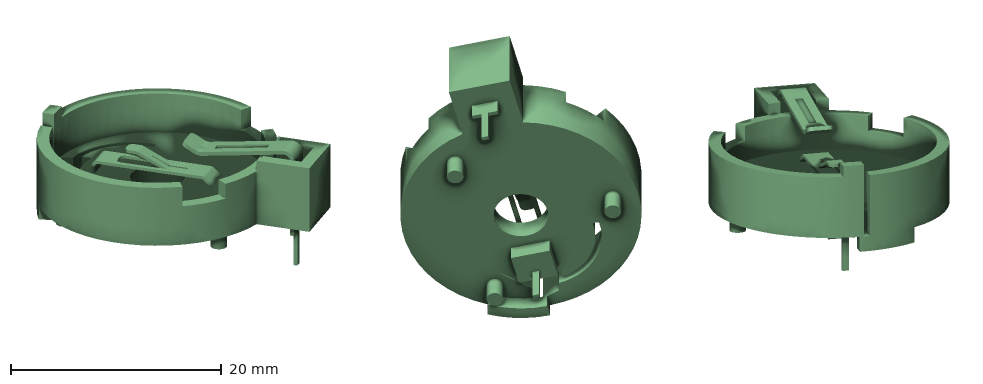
import cadquery as cq
import math


overall_length = 27.8
ring_diameter = 22.88
ring_radius = ring_diameter / 2
bore_radius = 10.25
ring_height = 6.03
floor_thickness = 2.0
center_hole_radius = 2.59

window_start_angle = 36.0
window_end_angle = 58.5
window_sill = 4.0
low_rim_height = 5.53

tab_height = 7.12
tab_y_max = 1.6
tab_y_min = -0.4
tab_slot_y_min = -0.97

curved_slot_center = (-2.97, 0.95)
curved_slot_outer_radius = 6.03
curved_slot_inner_radius = 5.42
curved_slot_mid_angle = 140.0
curved_slot_end_x = -2.6
curved_slot_corner_radius = 0.15
opening_center_x = -1.0
opening_radius = 6.6
opening_y_max = 2.03
opening_tip_y = -3.7
opening_bevel_x = -9.23
finger_corner_y = 1.47
finger_end = (-9.9, 1.2)
finger_bore_y = 0.1

box_width = 5.95
box_wall = 1.22
box_height = 6.62

foot_depth = 1.5
rim_foot_outer_angle = 30.1
rim_foot_inner_angle = 31.7
inner_foot_x_min = -6.85
inner_foot_x_max = -3.7
inner_foot_width = 3.78
peg_radius = 0.78
peg_length = 2.1
peg_circle_radius = 8.98
peg_angles = (90.0, 210.0, 330.0)

contact_width = 2.5
pin_width = 0.65
pin_bottom = -4.98
corner_radius = 0.5

lower_thickness = 0.3
lower_leg_x = -6.17
lower_top = 3.34
lower_bend_radius = 0.6
lower_tail_corner_x = 5.1
lower_tail_run = 0.97
lower_tail_drop = 0.8
lower_tail_bend_radius = 0.5
tongue_width = 1.5
tongue_tip_x = -3.05
tongue_kink_x = -1.75
tongue_root_x = 1.22
tongue_height = 4.7
tongue_overlap = 0.28
tongue_bend_radius = 0.6
tongue_window_width = 1.6
tongue_window_x_min = -3.9
tongue_window_x_max = 1.72
slit_width = 0.25
slit_x_min = -0.47
slit_x_max = 3.09

upper_thickness = 0.4
upper_leg_x = 14.2
upper_top = 7.23
upper_bend_radius = 1.0
upper_arm_angle = 9.5
upper_fold_x = 4.6
upper_fold_radius = 0.83
upper_tip_x = 3.0
upper_tip_z = 6.62
groove_x_min = 5.9
groove_x_max = 11.2
groove_width = 0.78
groove_depth = 0.2

clear = 1.4


def polar(radius, angle):
    """Point at a radius and an angle in degrees about the ring axis."""
    return (radius * math.cos(math.radians(angle)), radius * math.sin(math.radians(angle)))


def circle_x_left(center, radius, y):
    """X of the left side of a circle at the given y."""
    return center[0] - math.sqrt(radius**2 - (y - center[1]) ** 2)


def block(x_min, x_max, y_min, y_max, z_min, z_max):
    """Rectangular block between the given limits."""
    size = (x_max - x_min, y_max - y_min, z_max - z_min)
    return cq.Workplane("XY").box(*size, centered=False).translate((x_min, y_min, z_min))


def cylinder(radius, z_min, z_max):
    """Upright cylinder on the ring axis."""
    return cq.Workplane("XY").workplane(offset=z_min).circle(radius).extrude(z_max - z_min)




def rim_sector(start_angle, end_angle, z_min):
    """Wedge from the ring axis past the rim, used to lower the rim."""
    reach = 2 * ring_radius
    outline = [(0, 0), polar(reach, start_angle), polar(reach, end_angle)]
    wedge = cq.Workplane("XY").workplane(offset=z_min).polyline(outline).close()
    return wedge.extrude(ring_height + clear - z_min)


def cup():
    """Floor and ring wall, with the rim lowered toward the contact box."""
    body = cylinder(ring_radius, 0, ring_height)
    body = body.cut(cylinder(bore_radius, floor_thickness, ring_height))
    body = body.cut(cylinder(center_hole_radius, 0, floor_thickness))
    body = body.cut(rim_sector(-window_start_angle, window_start_angle, low_rim_height))
    body = body.cut(rim_sector(window_start_angle, window_end_angle, window_sill))
    return body.cut(rim_sector(-window_end_angle, -window_start_angle, window_sill))


def release_tab():
    """Raised piece of the ring wall."""
    wall = cylinder(ring_radius, floor_thickness, tab_height)
    wall = wall.cut(cylinder(bore_radius, floor_thickness, tab_height))
    return wall.intersect(block(-ring_radius, 0, tab_y_min, tab_y_max, floor_thickness, tab_height))


def tab_slot():
    """Slot through the ring wall that frees one side of the tab."""
    return block(-ring_radius - clear, opening_bevel_x, tab_slot_y_min, tab_y_min, 0, tab_height)


def floor_opening():
    """Curved slot and opening behind the tab, which leave a springy strip of floor."""
    axis = (0, 0)
    arc_center = (opening_center_x, 0)
    cx, cy = curved_slot_center
    inner_step_x = circle_x_left(curved_slot_center, curved_slot_inner_radius, opening_y_max)
    slot_end_x = curved_slot_end_x
    outer_end_y = cy + math.sqrt(curved_slot_outer_radius**2 - (slot_end_x - cx) ** 2)
    inner_end_y = cy + math.sqrt(curved_slot_inner_radius**2 - (slot_end_x - cx) ** 2)
    outer_mid_x, outer_mid_y = polar(curved_slot_outer_radius, curved_slot_mid_angle)
    inner_mid_x, inner_mid_y = polar(curved_slot_inner_radius, curved_slot_mid_angle)
    outer_start_x = circle_x_left(curved_slot_center, curved_slot_outer_radius, finger_corner_y)

    opening = (
        cq.Workplane("XY")
        .moveTo(outer_start_x, finger_corner_y)
        .threePointArc((cx + outer_mid_x, cy + outer_mid_y), (slot_end_x, outer_end_y))
        .lineTo(slot_end_x, inner_end_y)
        .threePointArc((cx + inner_mid_x, cy + inner_mid_y), (inner_step_x, opening_y_max))
        .lineTo(circle_x_left(arc_center, opening_radius, opening_y_max), opening_y_max)
        .threePointArc(
            (opening_center_x - opening_radius, 0),
            (circle_x_left(arc_center, opening_radius, opening_tip_y), opening_tip_y),
        )
        .lineTo(opening_bevel_x, tab_slot_y_min)
        .lineTo(circle_x_left(axis, bore_radius, tab_slot_y_min), tab_slot_y_min)
        .threePointArc(
            (circle_x_left(axis, bore_radius, tab_y_min), tab_y_min),
            (circle_x_left(axis, bore_radius, finger_bore_y), finger_bore_y),
        )
        .lineTo(*finger_end)
        .close()
        .extrude(floor_thickness)
    )
    return opening.edges("|Z").edges(">X").fillet(curved_slot_corner_radius)


def contact_box():
    """Box outside the ring, with a pocket that is open toward the ring."""
    x_end = overall_length - ring_radius
    half_width = box_width / 2
    pocket_half_width = half_width - box_wall
    body = block(0, x_end, -half_width, half_width, 0, box_height)
    pocket = block(
        0, x_end - box_wall, -pocket_half_width, pocket_half_width, floor_thickness, box_height
    )
    return body.cut(pocket).cut(cylinder(ring_radius, 0, box_height))


def rim_foot():
    """Foot below the ring wall, next to the tab."""
    return (
        cq.Workplane("XY")
        .moveTo(-ring_radius, 0)
        .threePointArc(
            polar(ring_radius, 180 + rim_foot_outer_angle / 2),
            polar(ring_radius, 180 + rim_foot_outer_angle),
        )
        .lineTo(*polar(bore_radius, 180 + rim_foot_inner_angle))
        .threePointArc(polar(bore_radius, 180 + rim_foot_inner_angle / 2), (-bore_radius, 0))
        .close()
        .extrude(-foot_depth)
    )


def inner_foot():
    """Foot around the pin of the lower contact."""
    half_width = inner_foot_width / 2
    return block(inner_foot_x_min, inner_foot_x_max, -half_width, half_width, -foot_depth, 0)


def pegs():
    """Three locating pegs below the floor."""
    centers = [polar(peg_circle_radius, angle) for angle in peg_angles]
    return cq.Workplane("XY").pushPoints(centers).circle(peg_radius).extrude(-peg_length)


def make_housing():
    body = cup().union(release_tab()).union(contact_box())
    body = body.cut(tab_slot()).cut(floor_opening())
    return body.union(rim_foot()).union(inner_foot()).union(pegs())




def mitred_offset(path, distance):
    """Path moved sideways to the right of its direction, with mitred corners."""
    normals = []
    for (x0, z0), (x1, z1) in zip(path, path[1:]):
        length = math.hypot(x1 - x0, z1 - z0)
        normals.append(((z1 - z0) / length, (x0 - x1) / length))
    befores = [normals[0]] + normals
    afters = normals + [normals[-1]]
    moved = []
    for (x, z), (bx, bz), (ax, az) in zip(path, befores, afters):
        mitre = distance / (1 + bx * ax + bz * az)
        moved.append((x + mitre * (bx + ax), z + mitre * (bz + az)))
    return moved


def bent_strip(path, bend_radii, thickness, width):
    """Sheet strip in the XZ plane whose upper face follows the path from left to right.

    Each bend radius is the inner one of its corner; None leaves that corner sharp.
    """
    lower_path = mitred_offset(path, thickness)
    outline = path + lower_path[::-1]
    strip = cq.Workplane("XZ").polyline(outline).close().extrude(width / 2, both=True)
    for i, radius in enumerate(bend_radii, start=1):
        if radius is None:
            continue
        (x0, z0), (x1, z1), (x2, z2) = path[i - 1 : i + 2]
        turns_down = (x1 - x0) * (z2 - z1) < (z1 - z0) * (x2 - x1)
        upper_radius = radius + thickness if turns_down else radius
        lower_radius = radius if turns_down else radius + thickness
        for (x, z), face_radius in ((path[i], upper_radius), (lower_path[i], lower_radius)):
            corner = cq.selectors.NearestToPointSelector((x, 0, z))
            strip = strip.edges("|Y").edges(corner).fillet(face_radius)
    return strip


def round_left_tip(strip, path, thickness, width):
    """Round both corners at the left end of a strip, across its thickness."""
    (x0, z0), (x1, z1) = path[0], mitred_offset(path, thickness)[0]
    for y in (-width / 2, width / 2):
        corner = cq.selectors.NearestToPointSelector(((x0 + x1) / 2, y, (z0 + z1) / 2))
        strip = strip.edges(corner).fillet(corner_radius)
    return strip


def contact_pin(x_min, x_max):
    """Narrow solder pin below a contact leg."""
    return block(x_min, x_max, -pin_width / 2, pin_width / 2, pin_bottom, -foot_depth)


def tongue():
    """Raised spring tongue of the lower contact."""
    path = [
        (tongue_tip_x, tongue_height),
        (tongue_kink_x, tongue_height),
        (tongue_root_x, lower_top),
        (tongue_window_x_max + tongue_overlap, lower_top),
    ]
    inner_radius = tongue_bend_radius - lower_thickness
    strip = bent_strip(path, [inner_radius, None], lower_thickness, tongue_width)
    return round_left_tip(strip, path, lower_thickness, tongue_width)


def tongue_window():
    """Window around the tongue, rounded at its left end."""
    half_width = tongue_window_width / 2
    window = block(
        tongue_window_x_min, tongue_window_x_max, -half_width, half_width, floor_thickness, lower_top
    )
    return window.edges("|Z").edges("<X").fillet(corner_radius)


def make_lower_contact():
    path = [
        (lower_leg_x, -foot_depth),
        (lower_leg_x, lower_top),
        (lower_tail_corner_x, lower_top),
        (lower_tail_corner_x + lower_tail_run, lower_top - lower_tail_drop),
    ]
    inner_radii = [
        lower_bend_radius - lower_thickness,
        lower_tail_bend_radius - lower_thickness,
    ]
    body = bent_strip(path, inner_radii, lower_thickness, contact_width)
    slit = block(
        slit_x_min, slit_x_max, -slit_width / 2, slit_width / 2, floor_thickness, upper_top
    )
    body = body.cut(tongue_window()).union(tongue()).cut(slit)
    return body.union(contact_pin(lower_leg_x, lower_leg_x + lower_thickness))


def upper_arm_z(x):
    """Height of the sloping upper face of the upper contact, extended to the leg."""
    slope = math.radians(upper_arm_angle)
    bend_center_x = upper_leg_x - upper_bend_radius
    z_above_bend = upper_top - upper_bend_radius + upper_bend_radius / math.cos(slope)
    return z_above_bend + (x - bend_center_x) * math.tan(slope)


def arm_groove():
    """Shallow groove along the arm of the upper contact."""
    start_z = upper_arm_z(groove_x_min)
    end_z = upper_arm_z(groove_x_max)
    outline = [
        (groove_x_min, start_z - groove_depth),
        (groove_x_max, end_z - groove_depth),
        (groove_x_max, end_z + clear),
        (groove_x_min, start_z + clear),
    ]
    return cq.Workplane("XZ").polyline(outline).close().extrude(groove_width / 2, both=True)


def make_upper_contact():
    path = [
        (upper_tip_x, upper_tip_z),
        (upper_fold_x, upper_arm_z(upper_fold_x)),
        (upper_leg_x, upper_arm_z(upper_leg_x)),
        (upper_leg_x, -foot_depth),
    ]
    inner_radii = [upper_fold_radius, upper_bend_radius - upper_thickness]
    body = bent_strip(path, inner_radii, upper_thickness, contact_width)
    body = round_left_tip(body, path, upper_thickness, contact_width)
    body = body.cut(arm_groove())
    return body.union(contact_pin(upper_leg_x - upper_thickness, upper_leg_x))


lower_contact = make_lower_contact()
upper_contact = make_upper_contact()

housing = make_housing().cut(lower_contact).cut(upper_contact)

bodies = [housing, lower_contact, upper_contact]
result = cq.Compound.makeCompound([body.solids().val() for body in bodies])